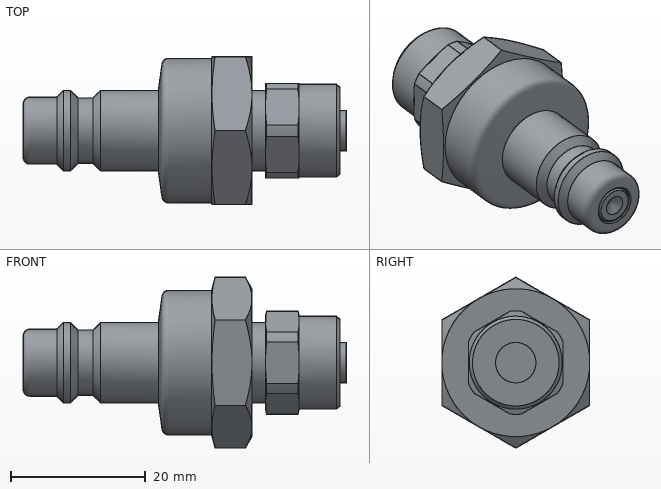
import cadquery as cq
import math

overall_length = 48.0

tip_diameter = 10.0
tip_fillet = 1.0
plug_diameter = 12.0
groove_diameter = 9.75
ridge_foot = 5.0
ridge_start = 6.0
ridge_end = 7.0
groove_start = 8.15
groove_end = 10.35
shank_start = 11.5

flange_diameter = 21.5
flange_start = 20.05
flange_cone_angle = 8.0
flange_fillet = 1.0

hex_start = 28.0
hex_end = 34.0
hex_across_flats = 22.0
hex_front_chamfer_angle = 15.0
hex_rear_chamfer_angle = 30.0

nut_start = 36.0
nut_end = 41.0
nut_across_flats = 14.05
nut_corner_diameter = 15.35
nut_chamfer_angle = 15.0
sleeve_diameter = 13.8
sleeve_end = 47.1
sleeve_chamfer_length = 0.6
sleeve_chamfer_depth = 0.5
stub_diameter = 6.0

gap_mouth_diameter = 6.0
gap_outer_diameter = 5.6
gap_inner_diameter = 5.45
poppet_face_diameter = 5.0
gap_depth = 0.95
dimple_diameter = 3.0
dimple_point_angle = 118.0


def tan_deg(angle):
    return math.tan(math.radians(angle))


def revolve_about_x(points):
    """Revolve a closed outline of (x, radius) points about the X axis."""
    return cq.Workplane("XY").polyline(points).close().revolve(360, (0, 0, 0), (1, 0, 0))


def cylinder(start, end, diameter):
    radius = diameter / 2
    return revolve_about_x([(start, 0), (start, radius), (end, radius), (end, 0)])


def hexagon(start, end, across_flats, corner_diameter, front_diameter, front_angle, rear_angle):
    """Hexagonal prism whose corners are trimmed by a cylinder with a cone at each end."""
    point_diameter = across_flats / math.cos(math.radians(30))
    prism = (
        cq.Workplane("YZ")
        .workplane(offset=start)
        .polygon(6, point_diameter)
        .extrude(end - start)
        .rotate((0, 0, 0), (1, 0, 0), 90)
    )
    flat_radius = across_flats / 2
    corner_radius = corner_diameter / 2
    front_radius = front_diameter / 2
    front_length = (corner_radius - front_radius) * tan_deg(front_angle)
    rear_length = (corner_radius - flat_radius) * tan_deg(rear_angle)
    envelope = revolve_about_x([
        (start, 0),
        (start, front_radius),
        (start + front_length, corner_radius),
        (end - rear_length, corner_radius),
        (end, flat_radius),
        (end, 0),
    ])
    return prism.intersect(envelope)


def make_plug():
    tip_radius = tip_diameter / 2
    plug_radius = plug_diameter / 2
    groove_radius = groove_diameter / 2
    plug = revolve_about_x([
        (0, 0),
        (0, tip_radius),
        (ridge_foot, tip_radius),
        (ridge_start, plug_radius),
        (ridge_end, plug_radius),
        (groove_start, groove_radius),
        (groove_end, groove_radius),
        (shank_start, plug_radius),
        (nut_start, plug_radius),
        (nut_start, 0),
    ])
    return plug.faces("<X").edges().fillet(tip_fillet)


def make_flange():
    radius = flange_diameter / 2
    shank_radius = plug_diameter / 2
    rim_start = flange_start + (radius - shank_radius) * tan_deg(flange_cone_angle)
    axis_start = flange_start - shank_radius * tan_deg(flange_cone_angle)
    flange = revolve_about_x([(axis_start, 0), (rim_start, radius), (hex_start, radius), (hex_start, 0)])
    margin = flange_fillet / 2
    rim = cq.selectors.BoxSelector(
        (rim_start - margin, -radius - margin, -radius - margin),
        (rim_start + margin, radius + margin, radius + margin),
        boundingbox=True,
    )
    return flange.edges(rim).fillet(flange_fillet)


def make_sleeve():
    radius = sleeve_diameter / 2
    return revolve_about_x([
        (nut_end, 0),
        (nut_end, radius),
        (sleeve_end - sleeve_chamfer_length, radius),
        (sleeve_end, radius - sleeve_chamfer_depth),
        (sleeve_end, 0),
    ])


def make_ring_gap():
    mouth_chamfer = (gap_mouth_diameter - gap_outer_diameter) / 2
    poppet_chamfer = (gap_inner_diameter - poppet_face_diameter) / 2
    return revolve_about_x([
        (0, poppet_face_diameter / 2),
        (0, gap_mouth_diameter / 2),
        (mouth_chamfer, gap_outer_diameter / 2),
        (gap_depth, gap_outer_diameter / 2),
        (gap_depth, gap_inner_diameter / 2),
        (poppet_chamfer, gap_inner_diameter / 2),
    ])


def make_dimple():
    radius = dimple_diameter / 2
    depth = radius / tan_deg(dimple_point_angle / 2)
    return revolve_about_x([(0, 0), (0, radius), (depth, 0)])


hex_point_diameter = hex_across_flats / math.cos(math.radians(30))
large_hex = hexagon(
    hex_start, hex_end, hex_across_flats, hex_point_diameter,
    flange_diameter, hex_front_chamfer_angle, hex_rear_chamfer_angle,
)
nut = hexagon(
    nut_start, nut_end, nut_across_flats, nut_corner_diameter,
    nut_across_flats, nut_chamfer_angle, nut_chamfer_angle,
)

result = (
    make_plug()
    .union(make_flange())
    .union(large_hex)
    .union(nut)
    .union(make_sleeve())
    .union(cylinder(sleeve_end, overall_length, stub_diameter))
    .cut(make_ring_gap())
    .cut(make_dimple())
)